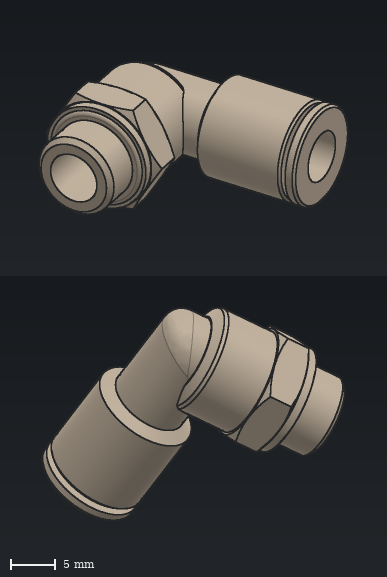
import cadquery as cq
import math

bore_radius = 6.0 / 2
tube_radius = 8.9 / 2
seam_slope = 0.43

sleeve_top = 0.44
sleeve_shoulder = 1.22
sleeve_full = 1.68
hex_top = 8.0
hex_bottom = 11.92
collar_bottom = 13.0
seal_bottom = 13.32
stem_bottom = 18.0

sleeve_top_radius = 4.6
sleeve_shoulder_radius = 6.0
sleeve_radius = 12.4 / 2

hex_flats = 13.0
hex_corners = hex_flats / math.cos(math.pi / 6)
hex_face_radius = hex_flats / 2
hex_chamfer_angle = math.radians(30)

collar_radius = 12.8 / 2
seal_ring_radius = 5.42
seal_section_radius = 0.55
stem_radius = 9.72 / 2
stem_chamfer = 0.6

overall_length = 29.0
socket_start = 8.06
socket_full = 8.94
socket_end = 19.6
flange_start = 20.3
flange_end = overall_length - hex_corners / 2

socket_radius = 12.0 / 2
neck_radius = 7.8 / 2
rim_chamfer = 0.3


def revolve_stem(profile):
    """Revolve (radius, depth) points about the stem axis; depth runs along -Y."""
    points = [(radius, -depth) for radius, depth in profile]
    return cq.Workplane("XY").polyline(points).close().revolve(360, (0, 0), (0, 1))


def revolve_socket(profile):
    """Revolve (x, radius) points about the socket axis."""
    return cq.Workplane("XY").polyline(profile).close().revolve(360, (0, 0), (1, 0))


def make_elbow_sector(corners):
    """Prism with one edge on the Z axis; the corners give its outline in units of its size."""
    size = 2 * flange_end
    points = [(x * size, y * size) for x, y in corners]
    return cq.Workplane("XY").polyline([(0, 0)] + points).close().extrude(2 * tube_radius, both=True)


def make_elbow():
    """Two equal tubes with a rounded outer corner.

    The corner is an ellipsoid that touches each tube tangentially along a
    plane through the Z axis: y = -seam_slope * x and x = -seam_slope * y.
    """
    overrun = 2 * tube_radius
    across = cq.Workplane("YZ").workplane(offset=-overrun).circle(tube_radius).extrude(overrun + socket_full)
    down = cq.Workplane("XZ").workplane(offset=-overrun).circle(tube_radius).extrude(overrun + hex_top)
    across_sector = make_elbow_sector([(-seam_slope, 1), (1, 1), (1, -1)])
    down_sector = make_elbow_sector([(-1, seam_slope), (-1, -1), (1, -1)])
    corner_sector = make_elbow_sector([(-1, seam_slope), (-1, 1), (-seam_slope, 1)])

    stretch = cq.Matrix([
        [math.sqrt(1 - seam_slope), 0, 0, 0],
        [0, math.sqrt(1 + seam_slope), 0, 0],
        [0, 0, 1, 0],
    ])
    ball = cq.Workplane("XY").sphere(tube_radius)
    ball = ball.rotate((0, 0, 0), (0, 0, 1), -90).rotate((0, 0, 0), (0, 1, 0), 90)
    ellipsoid = ball.val().transformGeometry(stretch).rotate(cq.Vector(0, 0, 0), cq.Vector(0, 0, 1), 45)
    corner = corner_sector.intersect(cq.Workplane(ellipsoid))
    return across.intersect(across_sector).union(down.intersect(down_sector)).union(corner)


def make_sleeve():
    return revolve_stem([
        (0, sleeve_top),
        (sleeve_top_radius, sleeve_top),
        (sleeve_shoulder_radius, sleeve_shoulder),
        (sleeve_radius, sleeve_full),
        (sleeve_radius, hex_top),
        (0, hex_top),
    ])


def make_hex():
    """Hexagon with its corners turned off by a cone at both ends."""
    prism = (
        cq.Workplane("XZ").workplane(offset=hex_top)
        .polygon(6, hex_corners).extrude(hex_bottom - hex_top)
    )
    corner_radius = hex_corners / 2
    corner_drop = (corner_radius - hex_face_radius) * math.tan(hex_chamfer_angle)
    envelope = revolve_stem([
        (0, hex_top),
        (hex_face_radius, hex_top),
        (corner_radius, hex_top + corner_drop),
        (corner_radius, hex_bottom - corner_drop),
        (hex_face_radius, hex_bottom),
        (0, hex_bottom),
    ])
    return prism.intersect(envelope)


def make_threaded_end():
    """Collar, sealing ring with a rounded rim, and chamfered stem in one revolved profile."""
    rim_centre_depth = seal_bottom - seal_section_radius
    rim_start = math.asin((collar_bottom - rim_centre_depth) / seal_section_radius)
    rim_middle = (rim_start + math.pi / 2) / 2

    def rim_point(angle):
        return (
            seal_ring_radius + seal_section_radius * math.cos(angle),
            -rim_centre_depth - seal_section_radius * math.sin(angle),
        )

    profile = (
        cq.Workplane("XY")
        .moveTo(0, -hex_bottom)
        .lineTo(collar_radius, -hex_bottom)
        .lineTo(collar_radius, -collar_bottom)
        .lineTo(*rim_point(rim_start))
        .threePointArc(rim_point(rim_middle), rim_point(math.pi / 2))
        .lineTo(stem_radius, -seal_bottom)
        .lineTo(stem_radius, -stem_bottom + stem_chamfer)
        .lineTo(stem_radius - stem_chamfer, -stem_bottom)
        .lineTo(0, -stem_bottom)
        .close()
    )
    return profile.revolve(360, (0, 0), (0, 1))


def make_socket():
    return revolve_socket([
        (socket_start, 0),
        (socket_start, tube_radius),
        (socket_full, socket_radius),
        (socket_end - rim_chamfer, socket_radius),
        (socket_end, socket_radius - rim_chamfer),
        (socket_end, neck_radius),
        (flange_start, neck_radius),
        (flange_start, socket_radius),
        (flange_end - rim_chamfer, socket_radius),
        (flange_end, socket_radius - rim_chamfer),
        (flange_end, 0),
    ])


def make_bore():
    """Stem and socket bores joined by a ball at the corner."""
    down = cq.Workplane("XZ").circle(bore_radius).extrude(stem_bottom)
    across = cq.Workplane("YZ").circle(bore_radius).extrude(flange_end)
    return down.union(across).union(cq.Workplane("XY").sphere(bore_radius))


body = (
    make_elbow()
    .union(make_sleeve())
    .union(make_hex())
    .union(make_threaded_end())
    .union(make_socket())
)
result = body.cut(make_bore())